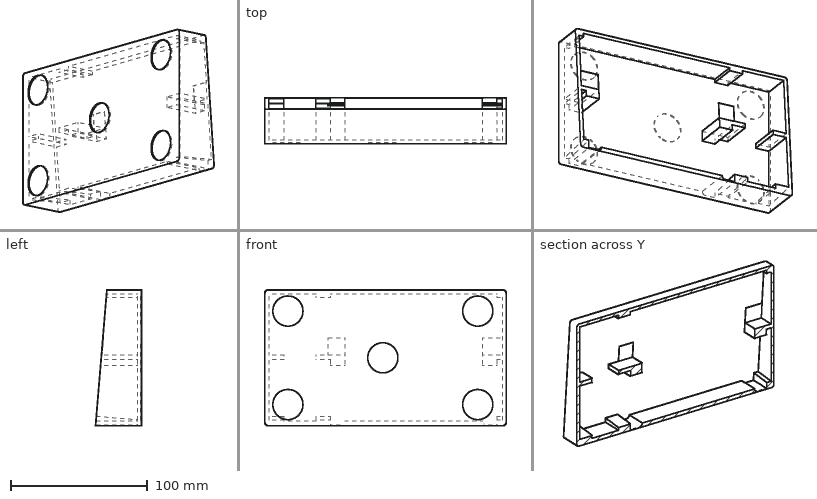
import cadquery as cq

length = 176.5
height = 99.4
depth_bottom = 33.7
depth_top = 25.5
wall = 3.0
corner_radius = 2.5

foot_diameter = 22.0
foot_depth = 1.0
foot_pitch_x = 138.7
foot_pitch_z = 68.3
foot_center_x = 86.3

floor_z = 3.5
bay_drop = 2.6
bay_radius = 2.6
left_bay_start = 37.2
left_bay_end = 58.6
right_bay_start = 159.0
right_bay_end = length - wall

bay_shelf_bottom = 44.1
block_shelf_bottom = 48.5
shelf_top = 52.0
lip_top = 64.5
lip_thickness = 0.4
left_lip_start = 46.0

block_back_z = 7.0
left_block_end = 14.0
middle_block_end = 48.0
right_block_start = 169.6
top_rim_bottom = 93.9


def box(x_start, x_end, z_start, z_end):
    """Block through the full depth between the given X and Z limits."""
    block = cq.Workplane("XY").box(x_end - x_start, depth_bottom, z_end - z_start, centered=False)
    return block.translate((x_start, 0, z_start))


def back_y(z):
    """Y of the sloping back face at height z."""
    return depth_bottom - (depth_bottom - depth_top) * z / height


def make_envelope():
    """Solid wedge with its four corners rounded along Y."""
    profile = [(0, 0), (depth_bottom, 0), (depth_top, height), (0, height)]
    wedge = cq.Workplane("YZ").polyline(profile).close().extrude(length)
    rounded = box(0, length, 0, height).edges("|Y").fillet(corner_radius)
    return wedge.intersect(rounded)


def make_bay(x_start, x_end, rounded_edge):
    """Lowered part of the cavity floor, rounded where it meets the higher floor."""
    bay = box(x_start, x_end, floor_z - bay_drop, height / 2)
    return bay.faces("<Z").edges(rounded_edge).fillet(bay_radius)


def make_block(x_start, x_end):
    """Block on the cavity floor whose top falls toward the front, square to the back face."""
    back = back_y(block_back_z)
    fall = back * (depth_bottom - depth_top) / height
    profile = [(0, 0), (depth_bottom, 0), (back, block_back_z), (0, block_back_z - fall)]
    block = cq.Workplane("YZ").polyline(profile).close().extrude(x_end - x_start)
    return block.translate((x_start, 0, 0))


def make_lip(x_start, x_end):
    """Thin upstand that follows the sloping back face above a shelf."""
    profile = [
        (back_y(shelf_top) - lip_thickness, shelf_top),
        (back_y(shelf_top), shelf_top),
        (back_y(lip_top), lip_top),
        (back_y(lip_top) - lip_thickness, lip_top),
    ]
    lip = cq.Workplane("YZ").polyline(profile).close().extrude(x_end - x_start)
    return lip.translate((x_start, 0, 0))


envelope = make_envelope()

cavity = box(wall, length - wall, floor_z, height - wall)
cavity = cavity.union(make_bay(left_bay_start, left_bay_end, ">X"))
cavity = cavity.union(make_bay(right_bay_start, right_bay_end, "<X"))

cavity = cavity.intersect(box(0, length, 0, height).translate((0, wall, 0)))

block_spans = [
    (wall, left_block_end),
    (left_bay_start, middle_block_end),
    (right_block_start, right_bay_end),
]
for x_start, x_end in block_spans:
    cavity = cavity.cut(make_block(x_start, x_end))
    cavity = cavity.cut(box(x_start, x_end, block_shelf_bottom, shelf_top))

for x_start, x_end in block_spans[1:]:
    cavity = cavity.cut(box(x_start, x_end, top_rim_bottom, height))

cavity = cavity.cut(box(middle_block_end, left_bay_end, bay_shelf_bottom, shelf_top))
cavity = cavity.cut(box(right_bay_start, right_block_start, bay_shelf_bottom, shelf_top))

cavity = cavity.cut(make_lip(left_lip_start, left_bay_end))
cavity = cavity.cut(make_lip(right_bay_start, right_bay_end))

result = envelope.cut(cavity)

foot_points = [(0, 0)]
for side_x in (-1, 1):
    for side_z in (-1, 1):
        foot_points.append((side_x * foot_pitch_x / 2, side_z * foot_pitch_z / 2))
feet = (
    cq.Workplane("XZ", origin=(foot_center_x, 0, height / 2))
    .pushPoints(foot_points)
    .circle(foot_diameter / 2)
    .extrude(-foot_depth)
)
result = result.cut(feet)